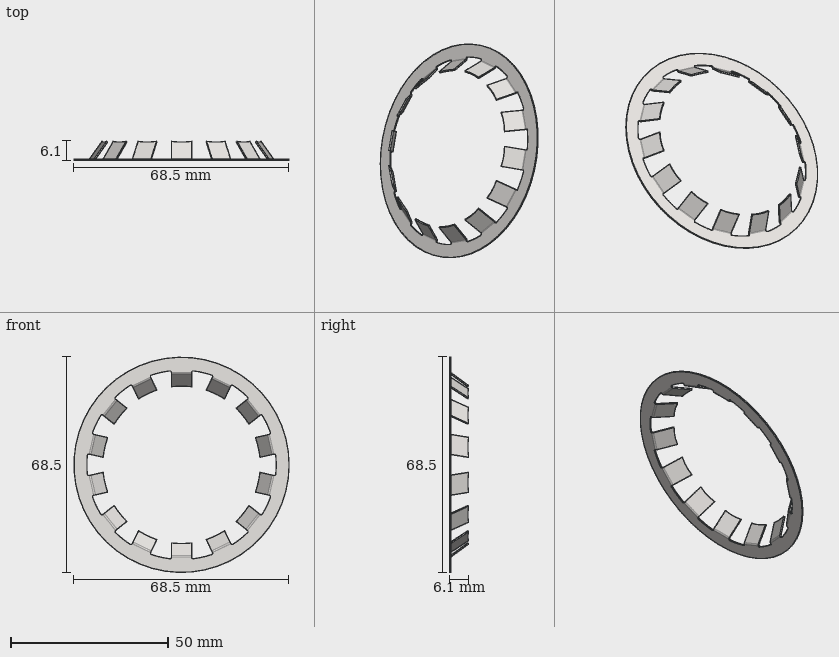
import cadquery as cq
import math

outer_radius = 34.25
inner_radius = 30.1
sheet_thickness = 0.5
overall_depth = 6.1

tab_count = 14
tab_width = 6.5
bend_start = 29.4
bend_angle = 54.0
bend_inner_radius = 0.2
root_fillet = 0.445
tip_arc_radius = 18.5

tab_pitch = 360 / tab_count
bend_outer_radius = bend_inner_radius + sheet_thickness
bend_sin = math.sin(math.radians(bend_angle))
bend_cos = math.cos(math.radians(bend_angle))

bend_rise = bend_outer_radius - bend_inner_radius * bend_cos
tab_length = (overall_depth - bend_rise) / bend_sin


def on_bend(radius, angle):
    """Point (Y, Z) on a bend arc, at an angle in degrees from the bend start."""
    turn = math.radians(angle)
    return (bend_outer_radius - radius * math.cos(turn), bend_start - radius * math.sin(turn))


def along_tab(point, distance):
    """Point (Y, Z) moved along the straight part of the tab towards its tip."""
    return (point[0] + distance * bend_sin, point[1] - distance * bend_cos)


def make_gap():
    """Opening between two neighbouring tabs, with rounded corners at the bore."""
    half_pitch = math.radians(tab_pitch / 2)
    half_width = tab_width / 2
    apex = half_width / math.sin(half_pitch)
    corner_turn = half_pitch - math.asin(half_width / inner_radius)
    corner_x = inner_radius * math.sin(corner_turn)
    corner_z = inner_radius * math.cos(corner_turn)
    return (
        cq.Workplane("XZ")
        .moveTo(0, apex)
        .lineTo(-corner_x, corner_z)
        .threePointArc((0, inner_radius), (corner_x, corner_z))
        .close()
        .extrude(-sheet_thickness)
        .edges("|Y")
        .fillet(root_fillet)
    )


def make_tab():
    """Bent tab at the +Z side, with a concave tip."""
    outer_end = on_bend(bend_outer_radius, bend_angle)
    inner_end = on_bend(bend_inner_radius, bend_angle)
    tab = (
        cq.Workplane("YZ")
        .moveTo(*on_bend(bend_outer_radius, 0))
        .threePointArc(on_bend(bend_outer_radius, bend_angle / 2), outer_end)
        .lineTo(*along_tab(outer_end, tab_length))
        .lineTo(*along_tab(inner_end, tab_length))
        .lineTo(*inner_end)
        .threePointArc(on_bend(bend_inner_radius, bend_angle / 2), on_bend(bend_inner_radius, 0))
        .close()
        .extrude(tab_width / 2, both=True)
    )

    arc_offset = math.sqrt(tip_arc_radius**2 - (tab_width / 2) ** 2)
    arc_y, arc_z = along_tab(outer_end, tab_length + arc_offset)
    tab_plane = cq.Plane(origin=(0, arc_y, arc_z), xDir=(1, 0, 0), normal=(0, bend_cos, bend_sin))
    tip_cutter = cq.Workplane(tab_plane).circle(tip_arc_radius).extrude(sheet_thickness)
    return tab.cut(tip_cutter)


def turned(shape, angle):
    """Shape turned about the ring axis."""
    return shape.rotate((0, 0, 0), (0, 1, 0), angle)


corner_radius = bend_start / math.cos(math.radians(tab_pitch / 2))
bore = cq.Workplane("XZ").circle(inner_radius).extrude(-sheet_thickness)
bend_line_hole = (
    cq.Workplane("XZ")
    .polygon(tab_count, 2 * corner_radius)
    .extrude(-sheet_thickness)
    .intersect(bore)
)
result = cq.Workplane("XZ").circle(outer_radius).extrude(-sheet_thickness).cut(bend_line_hole)

gap = make_gap()
tab = make_tab()
for index in range(tab_count):
    result = result.cut(turned(gap, (index + 0.5) * tab_pitch))
for index in range(tab_count):
    result = result.union(turned(tab, index * tab_pitch))